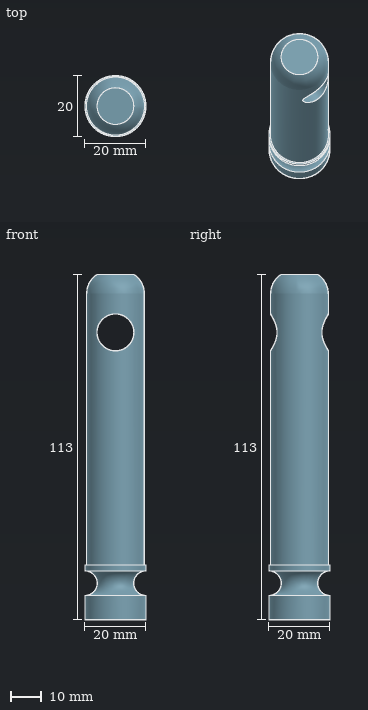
import cadquery as cq
import math

total_height = 113.0
head_diameter = 20.0
shank_diameter = 19.0
head_height = 8.0
groove_radius = 4.0
collar_thickness = 2.0
tip_diameter = 12.0
nose_radius = 7.5
cross_hole_diameter = 12.0
cross_hole_height = 94.0

head_radius = head_diameter / 2
shank_radius = shank_diameter / 2
tip_radius = tip_diameter / 2
collar_bottom = head_height + 2 * groove_radius
collar_top = collar_bottom + collar_thickness
groove_mid_height = head_height + groove_radius
groove_floor_radius = head_radius - groove_radius

nose_center_radius = shank_radius - nose_radius
nose_sweep = math.acos((tip_radius - nose_center_radius) / nose_radius)
nose_bottom = total_height - nose_radius * math.sin(nose_sweep)


def nose_point(angle):
    """Point (radius, height) on the nose arc at an angle above its start."""
    radius = nose_center_radius + nose_radius * math.cos(angle)
    height = nose_bottom + nose_radius * math.sin(angle)
    return (radius, height)


def turned_body():
    """Head, groove, collar, shank and nose as one revolved profile."""
    profile = (
        cq.Workplane("XZ")
        .moveTo(0, 0)
        .lineTo(head_radius, 0)
        .lineTo(head_radius, head_height)
        .threePointArc((groove_floor_radius, groove_mid_height), (head_radius, collar_bottom))
        .lineTo(head_radius, collar_top)
        .lineTo(shank_radius, collar_top)
        .lineTo(shank_radius, nose_bottom)
        .threePointArc(nose_point(nose_sweep / 2), (tip_radius, total_height))
        .lineTo(0, total_height)
        .close()
    )
    return profile.revolve(360, (0, 0, 0), (0, 1, 0))


def cross_hole():
    """Cutter along Y that passes right through the shank."""
    return (
        cq.Workplane("XZ")
        .center(0, cross_hole_height)
        .circle(cross_hole_diameter / 2)
        .extrude(head_radius, both=True)
    )


result = turned_body().cut(cross_hole())